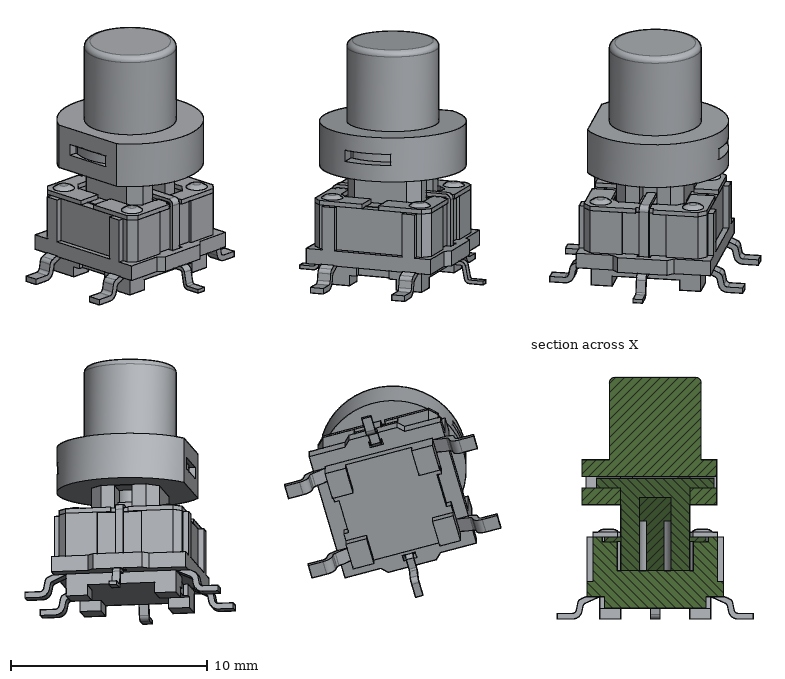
import cadquery as cq
import math

CHANNEL_Z = 0.54
BASE_Z = 1.14
BASE_TOP = 1.93
WELL_Z = 2.47
BLOCK_TOP = 4.2
COVER_TOP = 4.43
RIVET_TOP = 4.6
FLANGE_Z = 5.83
FLANGE_TOP = 8.14
CAP_TOP = 12.35
OVERLAP = 0.12

FLANGE_DIAMETER = 7.5
BUTTON_DIAMETER = 4.7
BUTTON_FILLET = 0.3
FLAT_Y = 3.15
WINDOW_WIDTH = 2.48
WINDOW_Z = 6.69
WINDOW_TOP = 7.27

STEM_LENGTH = 4.01
STEM_WIDTH = 3.52
STEM_CHAMFER = 0.59
STEM_TOP = 7.19
TONGUE_REACH = 3.0
TONGUE_DIAMETER = 5.0
TONGUE_ARC_HALF_WIDTH = 1.14
STEM_SLOT_WIDTH = 0.9
STEM_SLOT_TOP = 5.8
OPENING_LENGTH = 4.5
OPENING_WIDTH = 3.85
OPENING_CHAMFER = 0.43

BASE_LENGTH = 6.79
BASE_WIDTH = 6.97
TAB_REACH = 3.7
TAB_TIP_HALF_WIDTH = 1.27
TAB_ROOT_HALF_WIDTH = 1.58
BLOCK_SIDE = 6.37
BLOCK_CHAMFER = 0.4
BLOCK_WALL = 0.5
TOWER_CENTER_X = 2.19
TOWER_WIDTH = 0.69
STRAP_RECESS_WIDTH = 2.3
STRAP_RECESS_DEPTH = 0.16
STRAP_INNER_X = BLOCK_SIDE / 2 - STRAP_RECESS_DEPTH
STRAP_HOLE_LENGTH = 0.3
STRAP_HOLE_WIDTH = 0.69
SLAB_LENGTH = 5.34
SLAB_WIDTH = 5.68
CHANNEL_WIDTH_X = 2.56
CHANNEL_WIDTH_Y = 3.5
SLAB_NOTCH_WIDTH = 1.78
SLAB_NOTCH_DEPTH = 0.25
LEAD_WIDTH = 0.7
LEAD_CENTER_X = 2.22
LEAD_REACH = 5.0
LEAD_THICKNESS = 0.3
LEAD_INSET = 0.04

NOTCH_WIDTH = STEM_SLOT_WIDTH
STRAP_POCKET_DEPTH = 0.21
SILL_DEPTH = 0.25
SILL_WIDTH = NOTCH_WIDTH + 0.5
SILL_GAP = 0.1
RIVET_CENTER = 2.4
RIVET_RADIUS = 0.54
RIVET_FLAT_RADIUS = 0.2
RIVET_BULGE = 0.04

LAMP_BLOCK_LENGTH = 1.98
LAMP_TOP = 5.13
BULB_DIAMETER = 1.6
BULB_TOP = 6.2
STRAP_THICKNESS = 0.2
LEFT_STRAP_WIDTH = 0.4
RIGHT_STRAP_WIDTH = 0.5
OUTER_BEND = 0.3
INNER_BEND = 0.1


def box(length, width, bottom, top, x=0.0, y=0.0):
    """Upright box centred at (x, y) between two heights."""
    return (
        cq.Workplane("XY", origin=(x, y, bottom))
        .rect(length, width)
        .extrude(top - bottom)
    )


def chamfered_box(length, width, chamfer, bottom, top):
    return box(length, width, bottom, top).edges("|Z").chamfer(chamfer)


def stem_profile(bottom, top):
    return chamfered_box(STEM_LENGTH, STEM_WIDTH, STEM_CHAMFER, bottom, top)


def stem_opening(bottom, top):
    """Clearance around the stem, shared by the cover and the base."""
    return chamfered_box(OPENING_LENGTH, OPENING_WIDTH, OPENING_CHAMFER, bottom, top)


def rounded_outline(plane, corners):
    """Closed outline through (u, v, radius) corners; a radius above zero rounds its corner."""
    sketch = None
    for i, (u, v, radius) in enumerate(corners):
        before = cq.Vector(*corners[i - 1][:2])
        after = cq.Vector(*corners[(i + 1) % len(corners)][:2])
        corner = cq.Vector(u, v)
        back = (before - corner).normalized()
        ahead = (after - corner).normalized()
        half_angle = back.getAngle(ahead) / 2
        tangent = radius / math.tan(half_angle)
        start = corner + back * tangent
        sketch = plane.moveTo(start.x, start.y) if sketch is None else sketch.lineTo(start.x, start.y)
        if radius > 0:
            to_center = (back + ahead).normalized()
            middle = corner + to_center * (radius / math.sin(half_angle) - radius)
            end = corner + ahead * tangent
            sketch = sketch.threePointArc((middle.x, middle.y), (end.x, end.y))
    return sketch.close()


def make_cap():
    flange_radius = FLANGE_DIAMETER / 2
    flange = cq.Workplane("XY", origin=(0, 0, FLANGE_Z)).circle(flange_radius)
    flange = flange.extrude(FLANGE_TOP - FLANGE_Z)
    flat_depth = flange_radius - FLAT_Y
    flange = flange.cut(
        box(FLANGE_DIAMETER, flat_depth, FLANGE_Z, FLANGE_TOP, y=-FLAT_Y - flat_depth / 2)
    )
    button = cq.Workplane("XY", origin=(0, 0, FLANGE_TOP - OVERLAP)).circle(BUTTON_DIAMETER / 2)
    button = button.extrude(CAP_TOP - FLANGE_TOP + OVERLAP).faces(">Z").edges().fillet(BUTTON_FILLET)
    window = box(WINDOW_WIDTH, FLANGE_DIAMETER, WINDOW_Z, WINDOW_TOP)
    socket = stem_profile(FLANGE_Z, WINDOW_TOP)
    return flange.union(button).cut(window).cut(socket)


def make_tongue():
    """Snap tongue with a bowed tip that enters the cap window on the -Y side."""
    half_width = WINDOW_WIDTH / 2
    radius = TONGUE_DIAMETER / 2
    bow = radius - math.sqrt(radius**2 - TONGUE_ARC_HALF_WIDTH**2)
    shoulder_y = bow - TONGUE_REACH
    return (
        cq.Workplane("XY", origin=(0, 0, WINDOW_Z))
        .moveTo(-half_width, 0)
        .lineTo(-half_width, shoulder_y)
        .lineTo(-TONGUE_ARC_HALF_WIDTH, shoulder_y)
        .threePointArc((0, -TONGUE_REACH), (TONGUE_ARC_HALF_WIDTH, shoulder_y))
        .lineTo(half_width, shoulder_y)
        .lineTo(half_width, 0)
        .close()
        .extrude(STEM_TOP - WINDOW_Z)
    )


def make_bulb(bottom):
    """Round lamp bulb; started lower, the same cylinder is the bore that lets it into the stem."""
    bulb = cq.Workplane("XY", origin=(0, 0, bottom)).circle(BULB_DIAMETER / 2)
    return bulb.extrude(BULB_TOP - bottom)


def make_stem():
    stem = stem_profile(WELL_Z, STEM_TOP)
    tongue = make_tongue()
    stem = stem.union(tongue).union(tongue.mirror("XZ"))
    slot = box(STEM_LENGTH, STEM_SLOT_WIDTH, WELL_Z, STEM_SLOT_TOP)
    return stem.cut(slot).cut(make_bulb(WELL_Z))


def make_strap(width):
    """Lamp lead on the +X side: over the cover, down through the base and out to a foot."""
    inner_x = STRAP_INNER_X
    outer_x = inner_x + STRAP_THICKNESS
    root_x = LAMP_BLOCK_LENGTH / 2 - OVERLAP
    shin_lean = 0.2
    shin_top_x = 4.0
    shin_shift = STRAP_THICKNESS * math.hypot(1, shin_lean)

    def shin_x(z):
        return shin_top_x + shin_lean * (BASE_Z - z)

    lead_bottom = BASE_Z - STRAP_THICKNESS
    corners = [
        (root_x, RIVET_TOP, 0),
        (outer_x, RIVET_TOP, OUTER_BEND),
        (outer_x, BASE_Z, 0),
        (shin_x(BASE_Z), BASE_Z, OUTER_BEND),
        (shin_x(STRAP_THICKNESS), STRAP_THICKNESS, INNER_BEND),
        (LEAD_REACH, STRAP_THICKNESS, 0),
        (LEAD_REACH, 0, 0),
        (shin_x(0) - shin_shift, 0, OUTER_BEND),
        (shin_x(lead_bottom) - shin_shift, lead_bottom, INNER_BEND),
        (outer_x, lead_bottom, 0),
        (inner_x, BASE_Z, 0),
        (inner_x, RIVET_TOP - STRAP_THICKNESS, INNER_BEND),
        (root_x, RIVET_TOP - STRAP_THICKNESS, 0),
    ]
    return rounded_outline(cq.Workplane("XZ"), corners).extrude(width / 2, both=True)


def make_lamp():
    pedestal = box(OPENING_LENGTH, STEM_SLOT_WIDTH, WELL_Z, RIVET_TOP - STRAP_THICKNESS)
    block = box(LAMP_BLOCK_LENGTH, STEM_SLOT_WIDTH, WELL_Z, LAMP_TOP)
    bulb = make_bulb(LAMP_TOP - OVERLAP)
    right_strap = make_strap(RIGHT_STRAP_WIDTH)
    left_strap = make_strap(LEFT_STRAP_WIDTH).mirror("YZ")
    return pedestal.union(block).union(bulb).union(right_strap).union(left_strap)


def make_lead():
    """Gull-wing lead below the base, centred on x = 0 and pointing toward +Y."""
    root_y = SLAB_WIDTH / 2
    edge_y = BASE_WIDTH / 2
    edge_z = BASE_Z + LEAD_INSET
    knee = (3.93, 0.98)
    heel_y = 4.06
    underside_knee = (3.65, 0.77)
    sole_y = 3.82
    small_bend = 0.2
    large_bend = small_bend + LEAD_THICKNESS
    corners = [
        (root_y, BASE_Z, 0),
        (root_y, edge_z, 0),
        (edge_y, edge_z, 0),
        (*knee, OUTER_BEND),
        (heel_y, LEAD_THICKNESS, small_bend),
        (LEAD_REACH, LEAD_THICKNESS, 0),
        (LEAD_REACH, 0, 0),
        (sole_y, 0, large_bend),
        (*underside_knee, small_bend),
    ]
    return rounded_outline(cq.Workplane("YZ"), corners).extrude(LEAD_WIDTH / 2, both=True)


def make_plate():
    """Bottom plate with a tapered tab on each X side."""
    tabs = (
        cq.Workplane("XY", origin=(0, 0, BASE_Z))
        .moveTo(BASE_LENGTH / 2, -TAB_ROOT_HALF_WIDTH)
        .lineTo(TAB_REACH, -TAB_TIP_HALF_WIDTH)
        .lineTo(TAB_REACH, TAB_TIP_HALF_WIDTH)
        .lineTo(BASE_LENGTH / 2, TAB_ROOT_HALF_WIDTH)
        .lineTo(0, TAB_ROOT_HALF_WIDTH)
        .lineTo(0, -TAB_ROOT_HALF_WIDTH)
        .close()
        .extrude(BASE_TOP - BASE_Z)
    )
    return box(BASE_LENGTH, BASE_WIDTH, BASE_Z, BASE_TOP).union(tabs).union(tabs.mirror("YZ"))


def make_block():
    """Chamfered upper block with a stem well, strap recesses and seats for the cover sills."""
    block = chamfered_box(BLOCK_SIDE, BLOCK_SIDE, BLOCK_CHAMFER, BASE_TOP - OVERLAP, BLOCK_TOP)
    for side in (-1, 1):
        recess_x = side * (BLOCK_SIDE - STRAP_RECESS_DEPTH) / 2
        recess = box(STRAP_RECESS_DEPTH, STRAP_RECESS_WIDTH, BASE_TOP, BLOCK_TOP, x=recess_x)
        block = block.cut(recess)
    seat_length = BLOCK_SIDE - 2 * BLOCK_WALL
    seats = box(SILL_WIDTH, seat_length, BLOCK_TOP - SILL_DEPTH, BLOCK_TOP)
    return block.cut(seats).cut(stem_opening(WELL_Z, BLOCK_TOP))


def make_underside():
    """Four corner feet left by crossing channels in a slab, notched at the middle of its Y sides."""
    slab = box(SLAB_LENGTH, SLAB_WIDTH, 0, BASE_Z + OVERLAP)
    slab = slab.cut(box(CHANNEL_WIDTH_X, SLAB_WIDTH, 0, CHANNEL_Z))
    slab = slab.cut(box(SLAB_LENGTH, CHANNEL_WIDTH_Y, 0, CHANNEL_Z))
    for side in (-1, 1):
        notch_y = side * (SLAB_WIDTH - SLAB_NOTCH_DEPTH) / 2
        slab = slab.cut(box(SLAB_NOTCH_WIDTH, SLAB_NOTCH_DEPTH, CHANNEL_Z, BASE_Z, y=notch_y))
    return slab


def make_base(lamp):
    base = make_plate().union(make_block()).union(make_underside())
    lead = make_lead()
    tower_depth = (BASE_WIDTH - BLOCK_SIDE) / 2
    tower_y = (BASE_WIDTH - tower_depth) / 2
    for side_x in (-1, 1):
        for side_y in (-1, 1):
            tower = box(
                TOWER_WIDTH, tower_depth, BASE_TOP, BLOCK_TOP, side_x * TOWER_CENTER_X, side_y * tower_y
            )
            turned_lead = lead if side_y > 0 else lead.mirror("XZ")
            base = base.union(tower).union(turned_lead.translate((side_x * LEAD_CENTER_X, 0, 0)))
        hole_x = side_x * (STRAP_INNER_X + STRAP_HOLE_LENGTH / 2)
        base = base.cut(box(STRAP_HOLE_LENGTH, STRAP_HOLE_WIDTH, BASE_Z, BASE_TOP, x=hole_x))
    return base.cut(lamp)


def make_rivet():
    """Domed rivet head with a small flat top, rising from the cover's lower face."""
    middle = (
        (RIVET_RADIUS + RIVET_FLAT_RADIUS + RIVET_BULGE) / 2,
        (COVER_TOP + RIVET_TOP) / 2 + RIVET_BULGE,
    )
    return (
        cq.Workplane("XZ")
        .moveTo(0, BLOCK_TOP)
        .lineTo(RIVET_RADIUS, BLOCK_TOP)
        .lineTo(RIVET_RADIUS, COVER_TOP)
        .threePointArc(middle, (RIVET_FLAT_RADIUS, RIVET_TOP))
        .lineTo(0, RIVET_TOP)
        .close()
        .revolve(360, (0, 0, 0), (0, 1, 0))
    )


def make_cover(lamp):
    """Top plate whose notched Y sides are bridged by sills that reach in to the stem."""
    cover = chamfered_box(BLOCK_SIDE, BLOCK_SIDE, BLOCK_CHAMFER, BLOCK_TOP, COVER_TOP)
    cover = cover.cut(stem_opening(BLOCK_TOP, COVER_TOP))
    cover = cover.cut(box(NOTCH_WIDTH, BLOCK_SIDE, BLOCK_TOP, COVER_TOP))
    sill_length = BLOCK_SIDE - 2 * (BLOCK_WALL + SILL_GAP)
    sill_z = BLOCK_TOP - SILL_DEPTH
    sills = box(SILL_WIDTH, sill_length, sill_z, BLOCK_TOP).cut(stem_profile(sill_z, BLOCK_TOP))
    cover = cover.union(sills)
    rivet = make_rivet()
    for side_x in (-1, 1):
        pocket_x = side_x * (BLOCK_SIDE - STRAP_POCKET_DEPTH) / 2
        cover = cover.cut(box(STRAP_POCKET_DEPTH, NOTCH_WIDTH, BLOCK_TOP, COVER_TOP, x=pocket_x))
        for side_y in (-1, 1):
            cover = cover.union(rivet.translate((side_x * RIVET_CENTER, side_y * RIVET_CENTER, 0)))
    return cover.cut(lamp)


cap = make_cap()
stem = make_stem()
lamp = make_lamp()
base = make_base(lamp)
cover = make_cover(lamp)

bodies = [cap, stem, lamp, base, cover]
result = cq.Compound.makeCompound([body.solids().val() for body in bodies])